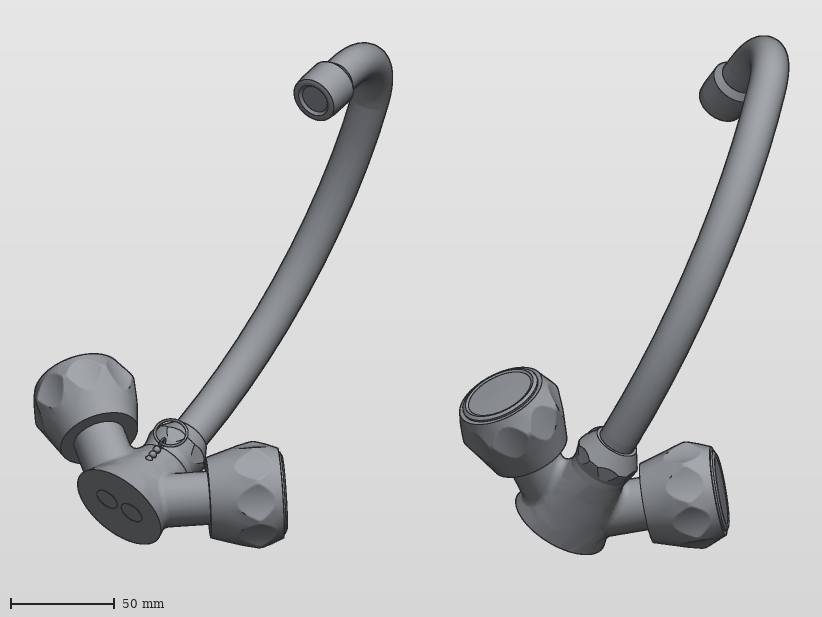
import cadquery as cq
import math


overall_depth = 228.3

base_radius = 24.2
neck_radius = 14.0
neck_y = 38.8
spout_z = -10.7
inlet_radius = 6.0
inlet_spacing = 14.2
inlet_z = 0.7
inlet_depth = 0.2

collar_ridge_radius = 15.8
collar_top_radius = 10.7
collar_waist_y = 42.7
collar_ridge_start_y = 49.5
collar_ridge_end_y = 50.2
collar_top_y = 59.1
collar_flat_count = 6
collar_flat_distance = 14.0
collar_flat_taper = 4.5

tube_radius = 9.1
long_bend_radius = 167.5
long_bend_angle = 65.5
short_bend_radius = 34.5
short_bend_angle = 99.5
outlet_straight = 6.6

aerator_radius = 11.9
aerator_cone = 3.7
aerator_barrel = 12.0
aerator_taper = 4.5
aerator_taper_radius = 11.5
aerator_rim_radius = 9.8
aerator_rim_bevel = 0.5
outlet_mouth_radius = 8.5
outlet_floor_radius = 7.0
outlet_depth = 1.4

valve_angle = 38.7
valve_y = 4.3
valve_z = -2.0
stem_radius = 12.8
stem_fillet = 3.5
stem_root = 10.3
knob_offset = 40.6

knob_inner_radius = 19.5
knob_ridge_radius = 26.5
knob_ridge_height = 23.3
knob_ridge_fillet = 4.5
knob_end_radius = 21.7
knob_height = 35.0
cap_radius = 19.6
cap_bevel_radius = 17.8
cap_wall = 1.0
cap_height = 1.8
dome_radius = 16.5
dome_rise = 0.5
flute_count = 8
flute_radius = 29.7
flute_floor = 23.3
flute_fillet = 1.4
flute_zone_start = 6.8

chain_z = 9.8
bead_radius = 1.8
bead_pitch = 3.5
bead_count = 3
first_bead_y = 25.5
eyelet_y = 36.8
eyelet_major_radius = 2.7
eyelet_wire_radius = 0.5
ring_major_radius = 7.8
ring_wire_radius = 0.57


def revolve_profile(points):
    """Solid of revolution about Z from (radius, height) points."""
    return cq.Workplane("XZ").polyline(points).close().revolve(360, (0, 0), (0, 1))


def along_y(shape):
    """Stand a Z-axis shape on the spout axis, pointing to +Y."""
    return shape.rotate((0, 0, 0), (1, 0, 0), -90).translate((0, 0, spout_z))


def torus(major_radius, wire_radius, center, axis):
    """Round wire ring about the given centre and axis."""
    solid = cq.Solid.makeTorus(major_radius, wire_radius, cq.Vector(*center), cq.Vector(*axis))
    return cq.Workplane(obj=solid)


def make_body():
    """Slanted cone from the round base to the lower, smaller neck."""
    base = cq.Wire.makeCircle(base_radius, cq.Vector(0, 0, 0), cq.Vector(0, 1, 0))
    neck = cq.Wire.makeCircle(neck_radius, cq.Vector(0, neck_y, spout_z), cq.Vector(0, 1, 0))
    return cq.Workplane(obj=cq.Solid.makeLoft([base, neck], True))


def place_valve(shape, side):
    """Turn a Z-axis shape onto the valve axis; side is +1 for +X and -1 for -X."""
    turned = shape.rotate((0, 0, 0), (0, 1, 0), 90 * side)
    turned = turned.rotate((0, 0, 0), (0, 0, 1), valve_angle * side)
    return turned.translate((0, valve_y, valve_z))


def make_stem():
    """Stem cylinder, rooted inside the body and clear of the base face."""
    stem = cq.Workplane("XY").circle(stem_radius).extrude(knob_offset - stem_root)
    return stem.translate((0, 0, stem_root))


def flute_rim_edges(knob):
    """Edges where the flutes cut the knob's flank."""
    rim_zone = cq.selectors.BoxSelector(
        (-knob_ridge_radius, -knob_ridge_radius, flute_zone_start),
        (knob_ridge_radius, knob_ridge_radius, knob_height - flute_fillet),
    )
    return knob.edges(rim_zone).edges("%BSPLINE")


def make_cap():
    """Low bevelled cap with a slightly domed centre, on the end of the knob."""
    cap_top = knob_height + cap_height
    return revolve_profile([
        (0, knob_height),
        (cap_radius, knob_height),
        (cap_radius, knob_height + cap_wall),
        (cap_bevel_radius, cap_top),
        (dome_radius, cap_top - dome_rise),
        (0, cap_top),
    ])


def make_knob():
    """Double-cone knob with scooped flutes around its ridge."""
    blank = revolve_profile([
        (0, 0),
        (knob_inner_radius, 0),
        (knob_ridge_radius, knob_ridge_height),
        (knob_end_radius, knob_height),
        (0, knob_height),
    ])
    ridge_point = (-knob_ridge_radius, 0, knob_ridge_height)
    ridge = cq.selectors.NearestToPointSelector(ridge_point)
    knob = blank.edges(ridge).fillet(knob_ridge_fillet)
    flute_center = flute_floor + flute_radius
    for index in range(flute_count):
        flute = cq.Workplane("XY").center(flute_center, 0).circle(flute_radius).extrude(knob_height)
        knob = knob.cut(flute.rotate((0, 0, 0), (0, 0, 1), index * 360 / flute_count))
    knob = flute_rim_edges(knob).fillet(flute_fillet)
    return knob.union(make_cap())


def make_collar():
    """Double-cone nut whose ridge is trimmed by six leaning flats."""
    collar = revolve_profile([
        (0, neck_y),
        (neck_radius, neck_y),
        (neck_radius, collar_waist_y),
        (collar_ridge_radius, collar_ridge_start_y),
        (collar_ridge_radius, collar_ridge_end_y),
        (collar_top_radius, collar_top_y),
        (0, collar_top_y),
    ])
    hexagon = (
        cq.Workplane("XY", origin=(0, 0, neck_y))
        .polygon(collar_flat_count, 2 * collar_flat_distance, circumscribed=True)
        .extrude(collar_top_y - neck_y, taper=-collar_flat_taper)
        .rotate((0, 0, 0), (0, 0, 1), 180 / collar_flat_count)
    )
    return along_y(collar.intersect(hexagon))


def heading(angle):
    """Unit (y, z) direction at an angle from +Y toward +Z."""
    return (math.cos(math.radians(angle)), math.sin(math.radians(angle)))


def arc_point(start, start_angle, sweep, radius):
    """Point (y, z) reached by a left-hand arc that leaves start along start_angle."""
    leave = heading(start_angle)
    arrive = heading(start_angle + sweep)
    return (
        start[0] + radius * (arrive[1] - leave[1]),
        start[1] + radius * (leave[0] - arrive[0]),
    )


bend_reach = (long_bend_radius - short_bend_radius) * math.sin(math.radians(long_bend_angle))
long_bend_start_y = overall_depth - tube_radius - short_bend_radius - bend_reach
outlet_angle = long_bend_angle + short_bend_angle
long_bend_start = (long_bend_start_y, spout_z)
long_bend_middle = arc_point(long_bend_start, 0, long_bend_angle / 2, long_bend_radius)
long_bend_end = arc_point(long_bend_start, 0, long_bend_angle, long_bend_radius)
short_bend_middle = arc_point(long_bend_end, long_bend_angle, short_bend_angle / 2, short_bend_radius)
short_bend_end = arc_point(long_bend_end, long_bend_angle, short_bend_angle, short_bend_radius)
outlet_direction = heading(outlet_angle)
tube_end = (
    short_bend_end[0] + outlet_straight * outlet_direction[0],
    short_bend_end[1] + outlet_straight * outlet_direction[1],
)


def make_spout():
    """Round tube swept up from the collar through a long bend and a short bend."""
    path = (
        cq.Workplane("YZ")
        .moveTo(collar_top_y, spout_z)
        .lineTo(*long_bend_start)
        .threePointArc(long_bend_middle, long_bend_end)
        .threePointArc(short_bend_middle, short_bend_end)
        .lineTo(*tube_end)
    )
    start_plane = cq.Plane(origin=(0, collar_top_y, spout_z), xDir=(1, 0, 0), normal=(0, 1, 0))
    return cq.Workplane(start_plane).circle(tube_radius).sweep(path)


def make_aerator():
    """Wider sleeve on the tube end, with a shallow conical mouth."""
    taper_start = aerator_cone + aerator_barrel
    bevel_start = taper_start + aerator_taper
    end = bevel_start + aerator_rim_bevel
    aerator = revolve_profile([
        (0, 0),
        (tube_radius, 0),
        (aerator_radius, aerator_cone),
        (aerator_radius, taper_start),
        (aerator_taper_radius, bevel_start),
        (aerator_rim_radius, end),
        (outlet_mouth_radius, end),
        (outlet_floor_radius, end - outlet_depth),
        (0, end - outlet_depth),
    ])
    turned = aerator.rotate((0, 0, 0), (1, 0, 0), outlet_angle - 90)
    return turned.translate((0, *tube_end))


def make_eyelet():
    return torus(eyelet_major_radius, eyelet_wire_radius, (0, eyelet_y, chain_z), (1, 0, 0))


def make_bead(index):
    bead_y = first_bead_y + index * bead_pitch
    return cq.Workplane("XY").sphere(bead_radius).translate((0, bead_y, chain_z))


def make_ring():
    """Loose horizontal ring whose wire passes through the middle of the eyelet."""
    return torus(ring_major_radius, ring_wire_radius, (0, eyelet_y + ring_major_radius, chain_z), (0, 0, 1))


def cut_inlets(tap):
    """Two faint round inlet marks in the base face."""
    inlet_x = inlet_spacing / 2
    inlets = (
        cq.Workplane("XZ")
        .pushPoints([(-inlet_x, inlet_z), (inlet_x, inlet_z)])
        .circle(inlet_radius)
        .extrude(-inlet_depth)
    )
    return tap.cut(inlets)


def make_tap():
    """Body, valves, collar, spout and chain as one solid."""
    sides = (-1, 1)
    tap = make_body()
    for side in sides:
        tap = tap.union(place_valve(make_stem(), side))
    stem_joints = tap.edges("%BSPLINE").edges("<X or >X")
    tap = stem_joints.fillet(stem_fillet)

    knob = make_knob().translate((0, 0, knob_offset))
    for side in sides:
        tap = tap.union(place_valve(knob, side))

    tap = tap.union(make_collar()).union(make_spout()).union(make_aerator())

    for index in range(bead_count):
        tap = tap.union(make_bead(index))
    tap = tap.union(make_eyelet())
    return cut_inlets(tap)


tap = make_tap()
ring = make_ring()
result = cq.Compound.makeCompound([tap.solids().val(), ring.val()])